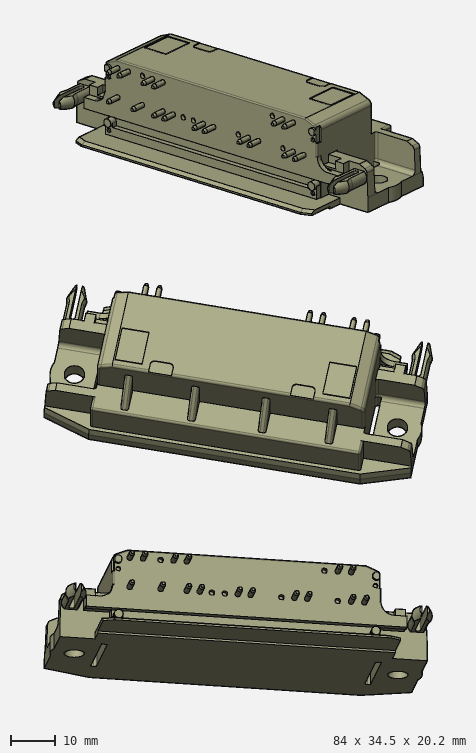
import cadquery as cq
import math


OVERALL_LENGTH = 83.96
OVERALL_DEPTH = 34.5

BASE_HALF_X = 41.5
BASE_FRONT_Y = -9.65
FLANGE_Z = 3.6
FLANGE_REAR_Y = 13.8
FLANGE_SIDE_REAR_Y = 10.1
FLANGE_REAR_HALF_X = 30.7
FLANGE_BEVEL_WIDTH = 0.45
FLANGE_BEVEL_HEIGHT = 1.5
HOLE_X = 36.55
HOLE_D = 4.5
EAR_R = OVERALL_LENGTH / 2 - HOLE_X

WALL_Z = 11.1
WALL_REAR_Y = 9.2
WALL_CORNER_X = 2.4
WALL_CORNER_Z = 1.0
WALL_CORNER_R = 1.0
WALL_LEAN = 0.3
TRAY_REAR_Y = 7.2
TRAY_FRONT_Y = -7.1
TRAY_FILLET = 1.1
TRAY_CORNER_R = 0.6
SLOT_OUTER_X = 31.6
SLOT_FRONT_Y = -6.8
SLOT_REAR_Y = 6.9
SLOT_TOP_Z = FLANGE_Z + TRAY_FILLET

BODY_HALF_X = 30.3
BODY_REAR_Y = 6.0
BODY_FRONT_Y = -13.65
BODY_Z = 20.23
BODY_CORNER_X = 3.4
BODY_CORNER_Z = 1.4
BODY_CORNER_R = 1.4
BODY_REAR_EDGE_R = 0.6
BODY_FRONT_EDGE_R = 0.3
REAR_STEP_Y = 12.5
REAR_STEP_HALF_X = 30.6
REAR_STEP_EDGE_R = 0.5

PLATE_BACK_Y = -12.3
PLATE_HALF_X = 36.2
PLATE_BOTTOM_Z = 6.1
PLATE_TOP_Z = 8.75
SHELF_BOTTOM_Z = 6.6
SHELF_TOP_Z = 9.2
PLATE_BLEND_R = 3.0
POST_INNER_X = 33.9
POST_FRONT_Y = -11.7
LEDGE_HALF_X = 30.1
LEDGE_Z = 3.6

TONGUE_HALF_X = 33.6
TONGUE_BOTTOM_Z = 0.5
TONGUE_TOP_Z = 1.5
TONGUE_TIP_Y = FLANGE_REAR_Y - OVERALL_DEPTH
TONGUE_CORNER_X = 2.4
TONGUE_CORNER_Y = 0.95
TONGUE_BEVEL_Y = 1.1
TONGUE_BEVEL_Z = 0.55
FOOT_FRONT_Y = -13.25

RIB_XS = (-23.1, -8.0, 8.0, 23.1)
RIB_WIDTH = 1.8
RIB_FOOT_Y = 11.3
RIB_TOP_Z = 17.4
RIB_FILLET = 0.5

PANEL_DEPTH = 0.2
LABEL_X = 23.5
LABEL_SIZE = (6.1, 8.3)
TAB_X = 16.05
TAB_WIDTH = 5.2
TAB_FRONT_Y = 2.85
TAB_CORNER_R = 1.0

PIN_D = 1.2
PIN_TIP_Y = -17.35
PIN_CHAMFER_Y = 0.7
PIN_CHAMFER_R = 0.25
CONTACT_HOLE_D = 1.2
CONTACT_HOLE_DEPTH = 1.0
UPPER_ROW_Z = 18.3
LOWER_ROW_Z = 11.3
UPPER_PIN_XS = (-26.5, -23.5, -16.6, -13.6, 20.5, 23.5)
UPPER_HOLE_XS = (-19.5, 17.5)
LOWER_PIN_XS = (-26.5, -19.5, -13.6, -10.7, -2.1, 0.8, 10.7, 13.6, 23.5, 26.5)
LOWER_HOLE_XS = (-7.9, -5.0, 7.8, 20.5)

BOSS_X = 29.05
BOSS_D = 2.0
BOSS_FRONT_Y = -14.25
BOSS_LOWER_Z = 4.6
BOSS_UPPER_X = 29.2
BOSS_UPPER_D = 1.8
BOSS_UPPER_Z = 17.7
GATE_HOLE_D = 1.0
GATE_HOLE_DEPTH = 0.5
GATE_HOLE_ZS = (2.7, 15.55)
SIDE_RECESS_Z = (15.0, 18.8)
SIDE_RECESS_DEPTH = 0.4

CLIP_X = 39.1
CLIP_Z = 8.15
CLIP_HEIGHT = 3.0
CLIP_R = 2.05
CLIP_BARB_R = 2.3
CLIP_TIP_R = 1.1
CLIP_BARB_START_Y = -14.7
CLIP_BARB_Y = -16.2
CLIP_TIP_Y = -19.6
CLIP_SLOT_WIDTH = 1.25
CLIP_SLOT_END_Y = -10.4

SIDES = (-1, 1)
SELECT_MARGIN = 0.1


def block(x0, x1, y0, y1, z0, z1):
    """Box between two opposite corners."""
    return cq.Workplane("XY").box(x1 - x0, y1 - y0, z1 - z0, centered=False).translate((x0, y0, z0))


def wide_block(half_x, y0, y1, z0, z1):
    """Box symmetric about the YZ plane."""
    return block(-half_x, half_x, y0, y1, z0, z1)


def side_block(side, inner_x, outer_x, y0, y1, z0, z1):
    """Box on the left (-1) or right (1) end of the part."""
    xs = sorted((side * inner_x, side * outer_x))
    return block(xs[0], xs[1], y0, y1, z0, z1)


def y_cylinder(x, z, diameter, y_start, y_end):
    """Cylinder along Y."""
    length = abs(y_end - y_start)
    plane = cq.Plane(origin=(x, max(y_start, y_end), z), xDir=(1, 0, 0), normal=(0, -1, 0))
    return cq.Workplane(plane).circle(diameter / 2).extrude(length)


def xz_workplane(y_rear):
    """Workplane facing -Y; an outline drawn on it extrudes forward from y_rear."""
    return cq.Workplane("XZ", origin=(0, y_rear, 0))


def edges_at_height(half_x, y0, y1, z):
    """Selector for edges centred at height z inside a symmetric rectangle, limits included."""
    margin = SELECT_MARGIN
    return cq.selectors.BoxSelector(
        (-half_x - margin, y0 - margin, z - margin),
        (half_x + margin, y1 + margin, z + margin),
    )


def make_flange():
    """Base slab with slanted rear corners and a round ear at each mounting hole."""
    outline = [
        (-BASE_HALF_X, BASE_FRONT_Y),
        (BASE_HALF_X, BASE_FRONT_Y),
        (BASE_HALF_X, FLANGE_SIDE_REAR_Y),
        (FLANGE_REAR_HALF_X, FLANGE_REAR_Y),
        (-FLANGE_REAR_HALF_X, FLANGE_REAR_Y),
        (-BASE_HALF_X, FLANGE_SIDE_REAR_Y),
    ]
    flange = cq.Workplane("XY").polyline(outline).close().extrude(FLANGE_Z)
    rear_rim = edges_at_height(BASE_HALF_X, FLANGE_SIDE_REAR_Y, FLANGE_REAR_Y, FLANGE_Z)
    flange = flange.faces(">Z").edges(rear_rim).chamfer(FLANGE_BEVEL_HEIGHT, FLANGE_BEVEL_WIDTH)
    for side in SIDES:
        ear = cq.Workplane("XY").center(side * HOLE_X, 0).circle(EAR_R).extrude(FLANGE_Z)
        flange = flange.union(ear)
    return flange


def round_inner_corners(cutter, side):
    """Round the upright edges of a cutter where they meet the housing side."""
    inner_face = ">X" if side < 0 else "<X"
    return cutter.faces(inner_face).edges("|Z").fillet(TRAY_CORNER_R)


def make_walls():
    """Full-height end blocks with rounded, bevelled outer corners, hollowed into open trays."""
    outline = [
        (-BASE_HALF_X, 0),
        (BASE_HALF_X, 0),
        (BASE_HALF_X, FLANGE_Z),
        (BASE_HALF_X - WALL_LEAN, WALL_Z - WALL_CORNER_Z),
        (BASE_HALF_X - WALL_CORNER_X, WALL_Z),
        (WALL_CORNER_X - BASE_HALF_X, WALL_Z),
        (WALL_LEAN - BASE_HALF_X, WALL_Z - WALL_CORNER_Z),
        (-BASE_HALF_X, FLANGE_Z),
    ]
    walls = xz_workplane(WALL_REAR_Y).polyline(outline).close().extrude(WALL_REAR_Y - BASE_FRONT_Y)
    corners = edges_at_height(BASE_HALF_X, BASE_FRONT_Y, WALL_REAR_Y, WALL_Z - WALL_CORNER_Z)
    walls = walls.edges(corners).fillet(WALL_CORNER_R)
    for side in SIDES:
        tray = side_block(
            side, BODY_HALF_X, BASE_HALF_X + EAR_R, TRAY_FRONT_Y, TRAY_REAR_Y, FLANGE_Z, BODY_Z
        )
        tray = tray.edges("|X and <Z").fillet(TRAY_FILLET)
        tray = round_inner_corners(tray, side)
        walls = walls.cut(tray)
    return walls


def make_body():
    """Housing with bevelled and rounded top edges, plus the lower step behind it."""
    outline = [
        (-BODY_HALF_X, PLATE_BOTTOM_Z),
        (BODY_HALF_X, PLATE_BOTTOM_Z),
        (BODY_HALF_X, BODY_Z - BODY_CORNER_Z),
        (BODY_HALF_X - BODY_CORNER_X, BODY_Z),
        (BODY_CORNER_X - BODY_HALF_X, BODY_Z),
        (-BODY_HALF_X, BODY_Z - BODY_CORNER_Z),
    ]
    shell = xz_workplane(BODY_REAR_Y).polyline(outline).close().extrude(BODY_REAR_Y - BODY_FRONT_Y)
    bevel_start = edges_at_height(BODY_HALF_X, BODY_FRONT_Y, BODY_REAR_Y, BODY_Z - BODY_CORNER_Z)
    shell = shell.edges(bevel_start).fillet(BODY_CORNER_R)
    shell = shell.faces(">Y").edges("not <Z").fillet(BODY_REAR_EDGE_R)
    shell = shell.faces("<Y").edges("not <Z").fillet(BODY_FRONT_EDGE_R)
    lower = wide_block(BODY_HALF_X, PLATE_BACK_Y, BODY_REAR_Y, 0, PLATE_TOP_Z)
    rear_step = wide_block(REAR_STEP_HALF_X, TRAY_REAR_Y, REAR_STEP_Y, 0, WALL_Z)
    rear_step = rear_step.edges("|Z and >Y").fillet(REAR_STEP_EDGE_R)
    rear_step = rear_step.faces(">Z").edges("not <Y").fillet(REAR_STEP_EDGE_R)
    rear_fill = wide_block(BODY_HALF_X, BODY_REAR_Y, TRAY_REAR_Y, 0, WALL_Z)
    return shell.union(lower).union(rear_step).union(rear_fill)


def make_front_plate():
    """Wide plate blending into the housing sides, with ledge and corner posts."""
    blend_x = BODY_HALF_X + PLATE_BLEND_R
    blend_z = PLATE_TOP_Z + PLATE_BLEND_R
    mid = PLATE_BLEND_R * math.sqrt(0.5)
    plate = (
        xz_workplane(PLATE_BACK_Y)
        .moveTo(-PLATE_HALF_X, PLATE_BOTTOM_Z)
        .lineTo(PLATE_HALF_X, PLATE_BOTTOM_Z)
        .lineTo(PLATE_HALF_X, PLATE_TOP_Z)
        .lineTo(blend_x, PLATE_TOP_Z)
        .threePointArc((blend_x - mid, blend_z - mid), (BODY_HALF_X, blend_z))
        .lineTo(-BODY_HALF_X, blend_z)
        .threePointArc((mid - blend_x, blend_z - mid), (-blend_x, PLATE_TOP_Z))
        .lineTo(-PLATE_HALF_X, PLATE_TOP_Z)
        .close()
        .extrude(PLATE_BACK_Y - BODY_FRONT_Y)
    )
    shelf = wide_block(PLATE_HALF_X, PLATE_BACK_Y, BASE_FRONT_Y, SHELF_BOTTOM_Z, PLATE_TOP_Z)
    shelf_step = wide_block(PLATE_HALF_X, POST_FRONT_Y, BASE_FRONT_Y, PLATE_TOP_Z, SHELF_TOP_Z)
    ledge = wide_block(LEDGE_HALF_X, BODY_FRONT_Y, PLATE_BACK_Y, TONGUE_BOTTOM_Z, LEDGE_Z)
    plate = plate.union(shelf).union(shelf_step).union(ledge)
    for side in SIDES:
        post = side_block(
            side, POST_INNER_X, PLATE_HALF_X, POST_FRONT_Y, BASE_FRONT_Y, SHELF_TOP_Z, WALL_Z
        )
        plate = plate.union(post)
    return plate


def make_tongue():
    """Thin plate projecting at the front, with clipped corners and a bevelled tip."""
    outline = [
        (-TONGUE_HALF_X, BASE_FRONT_Y),
        (-TONGUE_HALF_X, TONGUE_TIP_Y + TONGUE_CORNER_Y),
        (TONGUE_CORNER_X - TONGUE_HALF_X, TONGUE_TIP_Y),
        (TONGUE_HALF_X - TONGUE_CORNER_X, TONGUE_TIP_Y),
        (TONGUE_HALF_X, TONGUE_TIP_Y + TONGUE_CORNER_Y),
        (TONGUE_HALF_X, BASE_FRONT_Y),
    ]
    tongue = (
        cq.Workplane("XY", origin=(0, 0, TONGUE_BOTTOM_Z))
        .polyline(outline)
        .close()
        .extrude(TONGUE_TOP_Z - TONGUE_BOTTOM_Z)
    )
    tip_rear_y = TONGUE_TIP_Y + TONGUE_CORNER_Y
    tip_edges = edges_at_height(TONGUE_HALF_X, TONGUE_TIP_Y, tip_rear_y, TONGUE_TOP_Z)
    tongue = tongue.faces(">Z").edges(tip_edges).chamfer(TONGUE_BEVEL_Z, TONGUE_BEVEL_Y)
    foot = wide_block(TONGUE_HALF_X, FOOT_FRONT_Y, BASE_FRONT_Y, 0, TONGUE_TOP_Z)
    return tongue.union(foot)


def make_rib(x):
    """Triangular gusset between the rear step and the housing back."""
    rib = (
        cq.Workplane("YZ", origin=(x - RIB_WIDTH / 2, 0, 0))
        .polyline([(BODY_REAR_Y, WALL_Z), (RIB_FOOT_Y, WALL_Z), (BODY_REAR_Y, RIB_TOP_Z)])
        .close()
        .extrude(RIB_WIDTH)
    )
    slope_edges = rib.faces("<X or >X").edges("not(|Y or |Z)")
    return slope_edges.fillet(RIB_FILLET)


def make_clip(side):
    """Barbed round pin with flats above and below, split along its length."""
    profile = [
        (0, BASE_FRONT_Y),
        (CLIP_R, BASE_FRONT_Y),
        (CLIP_R, CLIP_BARB_START_Y),
        (CLIP_BARB_R, CLIP_BARB_Y),
        (CLIP_TIP_R, CLIP_TIP_Y),
        (0, CLIP_TIP_Y),
    ]
    clip = cq.Workplane("XY").polyline(profile).close().revolve(360, (0, 0, 0), (0, 1, 0))
    half_z = CLIP_HEIGHT / 2
    clip = clip.intersect(wide_block(CLIP_BARB_R, CLIP_TIP_Y, BASE_FRONT_Y, -half_z, half_z))
    half_slot = CLIP_SLOT_WIDTH / 2
    slot_round_y = CLIP_SLOT_END_Y - half_slot
    slot = wide_block(half_slot, CLIP_TIP_Y, slot_round_y, -half_z, half_z)
    slot_end = cq.Workplane("XY").center(0, slot_round_y).circle(half_slot).extrude(half_z, both=True)
    return clip.cut(slot).cut(slot_end).translate((side * CLIP_X, 0, CLIP_Z))


def make_pin(x, z):
    """Contact pin with a tapered tip."""
    pin = y_cylinder(x, z, PIN_D, BODY_FRONT_Y, PIN_TIP_Y)
    return pin.faces("<Y").chamfer(PIN_CHAMFER_Y, PIN_CHAMFER_R)


def make_bosses(side):
    """Lower boss on its pad and upper boss, which is trimmed inside the housing side."""
    pad = side_block(
        side, BOSS_X - BOSS_D / 2, LEDGE_HALF_X, BODY_FRONT_Y, PLATE_BACK_Y, LEDGE_Z, BOSS_LOWER_Z
    )
    lower = y_cylinder(side * BOSS_X, BOSS_LOWER_Z, BOSS_D, PLATE_BACK_Y, BOSS_FRONT_Y)
    upper = y_cylinder(side * BOSS_UPPER_X, BOSS_UPPER_Z, BOSS_UPPER_D, BODY_FRONT_Y, BOSS_FRONT_Y)
    limit = BODY_HALF_X - SIDE_RECESS_DEPTH
    upper = upper.intersect(wide_block(limit, BOSS_FRONT_Y, BODY_FRONT_Y, 0, BODY_Z))
    return pad.union(lower).union(upper)


def top_panels(side):
    """Shallow label recess and tab recess in the top face."""
    floor_z = BODY_Z - PANEL_DEPTH
    label = (
        cq.Workplane("XY", origin=(side * LABEL_X, 0, floor_z)).rect(*LABEL_SIZE).extrude(PANEL_DEPTH)
    )
    half_tab = TAB_WIDTH / 2
    tab = side_block(side, TAB_X - half_tab, TAB_X + half_tab, TAB_FRONT_Y, BODY_REAR_Y, floor_z, BODY_Z)
    tab = tab.edges("|Z and <Y").fillet(TAB_CORNER_R)
    return label.union(tab)


def contact_hole(x, z, diameter, depth):
    """Blind hole in the housing front."""
    return y_cylinder(x, z, diameter, BODY_FRONT_Y, BODY_FRONT_Y + depth)


result = make_flange().union(make_walls()).union(make_body())

for side in SIDES:
    slot = side_block(side, BODY_HALF_X, SLOT_OUTER_X, SLOT_FRONT_Y, SLOT_REAR_Y, 0, SLOT_TOP_Z)
    slot = round_inner_corners(slot, side)
    hole = cq.Workplane("XY").center(side * HOLE_X, 0).circle(HOLE_D / 2).extrude(FLANGE_Z)
    recess = side_block(
        side, BODY_HALF_X - SIDE_RECESS_DEPTH, BODY_HALF_X, BODY_FRONT_Y, PLATE_BACK_Y, *SIDE_RECESS_Z
    )
    result = result.cut(slot).cut(hole).cut(recess).cut(top_panels(side))

result = result.union(make_front_plate()).union(make_tongue())

for x in RIB_XS:
    result = result.union(make_rib(x))

for side in SIDES:
    result = result.union(make_clip(side)).union(make_bosses(side))
    for z in GATE_HOLE_ZS:
        result = result.cut(contact_hole(side * BOSS_X, z, GATE_HOLE_D, GATE_HOLE_DEPTH))

for z, pin_xs, hole_xs in (
    (UPPER_ROW_Z, UPPER_PIN_XS, UPPER_HOLE_XS),
    (LOWER_ROW_Z, LOWER_PIN_XS, LOWER_HOLE_XS),
):
    for x in pin_xs:
        result = result.union(make_pin(x, z))
    for x in hole_xs:
        result = result.cut(contact_hole(x, z, CONTACT_HOLE_D, CONTACT_HOLE_DEPTH))